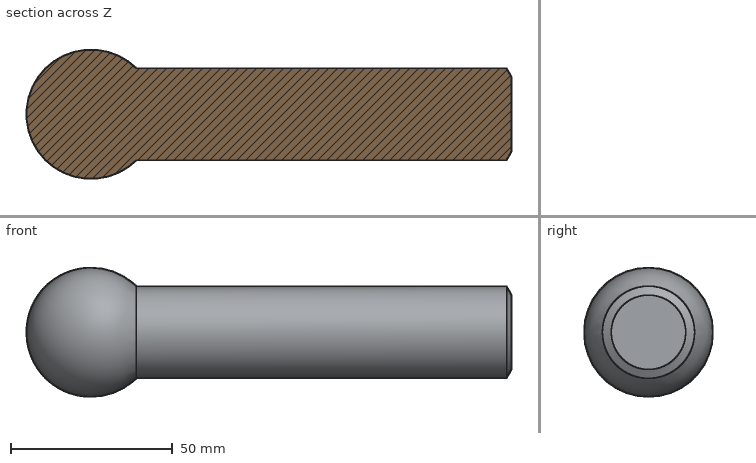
import cadquery as cq

BALL_DIAMETER = 40.0
SHANK_DIAMETER = 28.5
OVERALL_LENGTH = 150.0
CHAMFER_LENGTH = 1.6
CHAMFER_DEPTH = 2.75

ball_radius = BALL_DIAMETER / 2
shank_radius = SHANK_DIAMETER / 2
shank_end = OVERALL_LENGTH - ball_radius


def make_ball():
    return cq.Workplane("XY").sphere(ball_radius)


def make_shank():
    """Cylinder from the ball centre to the chamfered free end, turned about the X axis."""
    half_profile = (
        cq.Workplane("XZ")
        .lineTo(0, shank_radius)
        .lineTo(shank_end - CHAMFER_LENGTH, shank_radius)
        .lineTo(shank_end, shank_radius - CHAMFER_DEPTH)
        .lineTo(shank_end, 0)
        .close()
    )
    return half_profile.revolve(360, (0, 0, 0), (1, 0, 0))


result = make_ball().union(make_shank())